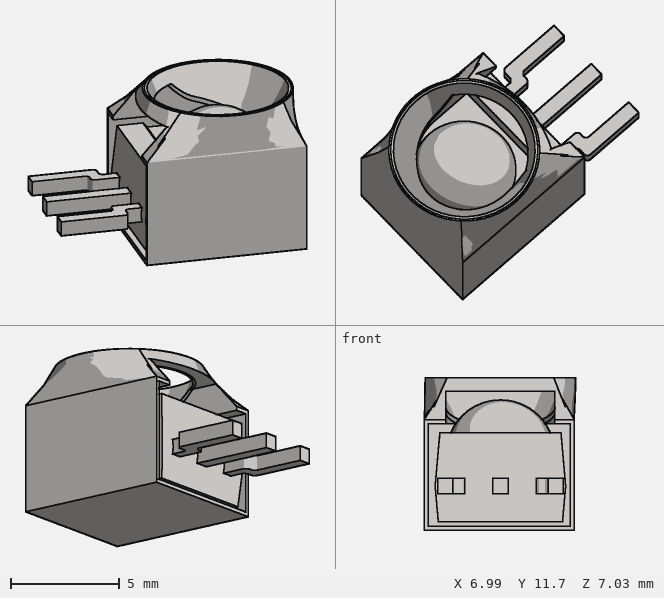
import cadquery as cq
import math


box_left = -3.51
box_right = 3.4
box_front = -4.31
box_back = 3.32
box_top = 5.11
wall = 0.19
rim_top = 7.03
rim_radius = 6.95 / 2
band_bottom = 6.76
core_front = -4.2
roof_underside = box_top - wall

funnel_outer_radius = 6.77 / 2
funnel_mouth_radius = 6.53 / 2
funnel_throat_radius = 2.16
funnel_wall = funnel_outer_radius - funnel_mouth_radius

notch_half_width = 2.51
notch_ceiling = 6.41
notch_round_y = -0.42

draft_angle = 5.0
parting_height = 2.04
body_half_width = 3.0
body_front = -4.26
body_back = box_back - wall
body_bottom = 0.39
body_top = 4.5
lens_floor = 4.26
ridge_back = -2.8
lens_floor_front = -2.62

lens_base_radius = 2.38
lens_top = 6.01

lead_size = 0.7
lead_tip = -8.26
lead_insertion = 0.35
lead_root = body_front + lead_insertion
jog_inner_x = 1.64
jog_middle_x = 2.2
jog_outer_x = 2.89
jog_shoulder_y = -5.04
jog_underside_y = -5.58
bend_radius = 0.2


def box_between(x_range, y_range, z_range):
    """Axis-aligned box given its low and high limit on each axis."""
    low, high = zip(x_range, y_range, z_range)
    size = [b - a for a, b in zip(low, high)]
    return cq.Workplane("XY").box(*size, centered=False).translate(low)


def make_blend(x_range, y_range, end_height):
    """Ruled blend from a rectangle on the box top to a circle, with one seam per corner."""
    left, right = x_range
    front, back = y_range
    corners = [
        cq.Vector(right, back, box_top),
        cq.Vector(left, back, box_top),
        cq.Vector(left, front, box_top),
        cq.Vector(right, front, box_top),
    ]

    def circle_point(degrees):
        angle = math.radians(degrees)
        return cq.Vector(rim_radius * math.cos(angle), rim_radius * math.sin(angle), end_height)

    quarter_turn = 90
    half_quarter = quarter_turn / 2
    sides = []
    arcs = []
    for index, corner in enumerate(corners):
        sides.append(cq.Edge.makeLine(corner, corners[(index + 1) % len(corners)]))
        seam = half_quarter + quarter_turn * index
        arc_points = [circle_point(seam + turn) for turn in (0, half_quarter, quarter_turn)]
        arcs.append(cq.Edge.makeThreePointArc(*arc_points))
    outline = cq.Wire.assembleEdges(sides)
    circle = cq.Wire.assembleEdges(arcs)
    return cq.Workplane(obj=cq.Solid.makeLoft([outline, circle], True))


def make_hood():
    outer = make_blend((box_left, box_right), (box_front, box_back), band_bottom)
    core = make_blend(
        (box_left + wall, box_right - wall),
        (core_front, box_back - wall),
        rim_top,
    )
    band = (
        cq.Workplane("XY", origin=(0, 0, band_bottom))
        .circle(rim_radius)
        .extrude(rim_top - band_bottom)
    )
    return outer.union(band).union(core)


def make_funnel_cone(thickness):
    """Solid cone from the roof underside to the rim, grown outward by a thickness."""
    height = rim_top - roof_underside
    cone = cq.Solid.makeCone(
        funnel_throat_radius + thickness,
        funnel_mouth_radius + thickness,
        height,
        pnt=cq.Vector(0, 0, roof_underside),
    )
    return cq.Workplane(obj=cone)


def make_notch():
    """U-shaped space, open to the front, from the cavity up to the notch ceiling."""
    z_range = (roof_underside, notch_ceiling)
    straight = box_between((-notch_half_width, notch_half_width), (box_front, notch_round_y), z_range)
    rounded = (
        cq.Workplane("XY", origin=(0, notch_round_y, roof_underside))
        .circle(notch_half_width)
        .extrude(notch_ceiling - roof_underside)
    )
    return straight.union(rounded)


def make_housing():
    shell = box_between((box_left, box_right), (box_front, box_back), (0, box_top))
    cavity = box_between(
        (box_left + wall, box_right - wall),
        (box_front, box_back - wall),
        (wall, roof_underside),
    )
    solid = shell.union(make_hood())
    return solid.cut(cavity).cut(make_funnel_cone(funnel_wall)).cut(make_notch())


def make_reflector():
    return make_funnel_cone(funnel_wall).cut(make_funnel_cone(0)).cut(make_notch())


def make_body(leads):
    """Block drafted both ways from its parting plane, with a socket for every lead."""

    def drafted_half(end_height):
        parting = cq.Workplane("XY", origin=(0, (body_front + body_back) / 2, parting_height))
        outline = parting.rect(2 * body_half_width, body_back - body_front)
        return outline.extrude(end_height - parting_height, taper=draft_angle)

    lowered_floor = (
        cq.Workplane("YZ")
        .moveTo(ridge_back, body_top)
        .lineTo(lens_floor_front, lens_floor)
        .lineTo(body_back, lens_floor)
        .lineTo(body_back, body_top)
        .close()
        .extrude(body_half_width, both=True)
    )
    body = drafted_half(body_top).union(drafted_half(body_bottom)).cut(lowered_floor)
    for lead in leads:
        body = body.cut(lead)
    return body


def make_lens():
    cap_height = lens_top - lens_floor
    sphere_radius = (lens_base_radius**2 + cap_height**2) / (2 * cap_height)
    sphere = cq.Workplane("XY", origin=(0, 0, lens_top - sphere_radius)).sphere(sphere_radius)
    cap_space = (
        cq.Workplane("XY", origin=(0, 0, lens_floor)).circle(lens_base_radius).extrude(cap_height)
    )
    return sphere.intersect(cap_space)


def make_center_lead():
    half = lead_size / 2
    return box_between((-half, half), (lead_tip, lead_root), (parting_height - half, parting_height + half))


def make_side_lead(side):
    """Lead jogged away from the centre; side is -1 for left and +1 for right."""
    lead = (
        cq.Workplane("XY", origin=(0, 0, parting_height))
        .moveTo(side * jog_inner_x, lead_root)
        .lineTo(side * jog_middle_x, lead_root)
        .lineTo(side * jog_middle_x, jog_shoulder_y)
        .lineTo(side * jog_outer_x, jog_shoulder_y)
        .lineTo(side * jog_outer_x, lead_tip)
        .lineTo(side * jog_middle_x, lead_tip)
        .lineTo(side * jog_middle_x, jog_underside_y)
        .lineTo(side * jog_inner_x, jog_underside_y)
        .close()
        .extrude(lead_size / 2, both=True)
    )

    bends = [
        (jog_middle_x, jog_shoulder_y),
        (jog_outer_x, jog_shoulder_y),
        (jog_middle_x, jog_underside_y),
        (jog_inner_x, jog_underside_y),
    ]
    for x, y in bends:
        bend = cq.selectors.NearestToPointSelector((side * x, y, parting_height))
        lead = lead.edges("|Z").edges(bend).fillet(bend_radius)
    return lead


housing = make_housing()
reflector = make_reflector()
leads = [make_center_lead()]
for side in (-1, 1):
    leads.append(make_side_lead(side))
body = make_body(leads)
lens = make_lens()

result = cq.Compound.makeCompound(
    [housing.val(), reflector.val(), body.val(), lens.val(), *[lead.val() for lead in leads]]
)